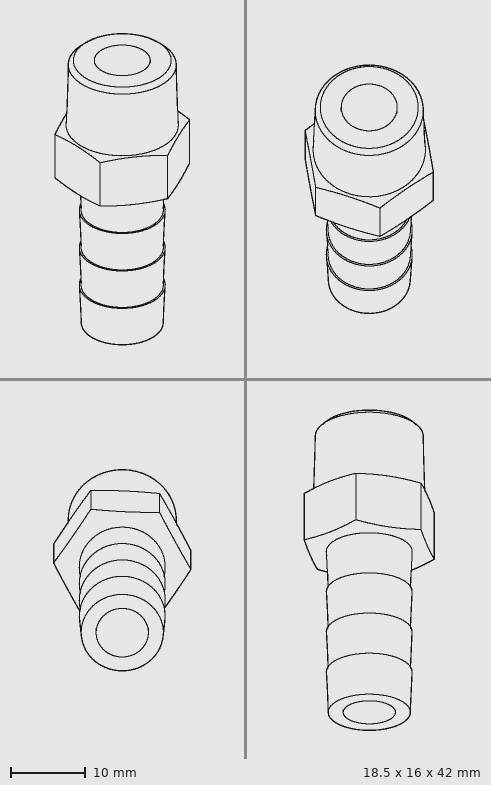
import cadquery as cq
import math

total_length = 42.0

barb_count = 4
barb_pitch = 6.0
barb_tip_diameter = 11.05
barb_crest_diameter = 11.55

hex_across_flats = 16.0
hex_across_corners = hex_across_flats / math.cos(math.radians(30))
hex_height = 7.6
hex_chamfer_angle = 15.0
hex_chamfer_diameter = 16.0
hex_bottom = barb_count * barb_pitch
hex_top = hex_bottom + hex_height

thread_base_diameter = 15.08
thread_end_diameter = 14.55
thread_tip_diameter = 13.15
thread_chamfer_height = 0.67

bore_hose_diameter = 7.0
bore_thread_diameter = 7.5
bore_cone_height = (bore_thread_diameter - bore_hose_diameter) / 2


def cone(bottom_diameter, top_diameter, bottom, top):
    """Frustum about Z between two heights."""
    profile = [
        (0, bottom),
        (bottom_diameter / 2, bottom),
        (top_diameter / 2, top),
        (0, top),
    ]
    return cq.Workplane("XZ").polyline(profile).close().revolve(360, (0, 0), (0, 1))


def hexagon():
    """Hexagon with corners on X, its corners chamfered at both ends."""
    prism = (
        cq.Workplane("XY")
        .workplane(offset=hex_bottom)
        .polygon(6, hex_across_corners)
        .extrude(hex_height)
    )
    rim_radius = hex_chamfer_diameter / 2
    corner_radius = hex_across_corners / 2
    drop = (corner_radius - rim_radius) * math.tan(math.radians(hex_chamfer_angle))
    envelope = (
        cq.Workplane("XZ")
        .polyline([
            (0, hex_bottom),
            (rim_radius, hex_bottom),
            (corner_radius, hex_bottom + drop),
            (corner_radius, hex_top - drop),
            (rim_radius, hex_top),
            (0, hex_top),
        ])
        .close()
        .revolve(360, (0, 0), (0, 1))
    )
    return prism.intersect(envelope)


def threaded_end():
    """Tapered, unthreaded envelope of the thread with a chamfered tip."""
    chamfer_start = total_length - thread_chamfer_height
    taper = cone(thread_base_diameter, thread_end_diameter, hex_top, chamfer_start)
    tip = cone(thread_end_diameter, thread_tip_diameter, chamfer_start, total_length)
    return taper.union(tip)


def through_bore():
    """Cutting body for the stepped bore."""
    cone_top = hex_bottom + bore_cone_height
    narrow = cone(bore_hose_diameter, bore_hose_diameter, 0, hex_bottom)
    step = cone(bore_hose_diameter, bore_thread_diameter, hex_bottom, cone_top)
    wide = cone(bore_thread_diameter, bore_thread_diameter, cone_top, total_length)
    return narrow.union(step).union(wide)


body = hexagon().union(threaded_end())
for index in range(barb_count):
    barb_bottom = index * barb_pitch
    barb_top = barb_bottom + barb_pitch
    body = body.union(cone(barb_tip_diameter, barb_crest_diameter, barb_bottom, barb_top))

result = body.cut(through_bore())